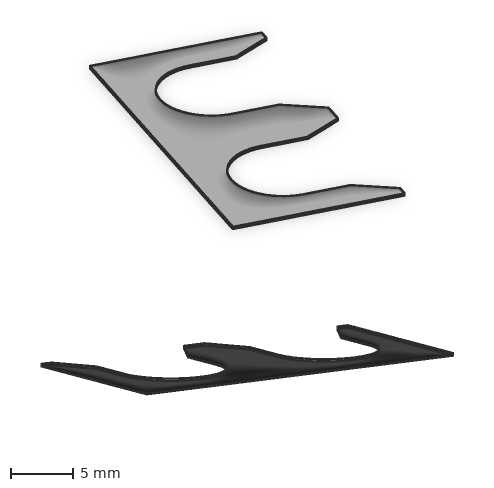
import cadquery as cq
import math

length = 30.0
width = 15.0
thickness = 0.2

slot_count = 2
slot_width = 9.0
slot_floor = 3.0
lead_in_spread = 2.0
lead_in_angle = 30.0

slot_pitch = length / slot_count
slot_radius = slot_width / 2
slot_center_y = slot_floor + slot_radius
mouth_half_width = slot_radius + lead_in_spread
lead_in_depth = lead_in_spread / math.tan(math.radians(lead_in_angle))
lead_in_start_y = width - lead_in_depth


def make_plate():
    """Rectangular blank with one corner at the origin."""
    return cq.Workplane("XY").box(length, width, thickness, centered=False)


def make_slot(center_x):
    """Cutting body of one slot, open at the far edge of the plate."""
    return (
        cq.Workplane("XY")
        .moveTo(center_x - mouth_half_width, width)
        .lineTo(center_x - slot_radius, lead_in_start_y)
        .lineTo(center_x - slot_radius, slot_center_y)
        .threePointArc((center_x, slot_floor), (center_x + slot_radius, slot_center_y))
        .lineTo(center_x + slot_radius, lead_in_start_y)
        .lineTo(center_x + mouth_half_width, width)
        .close()
        .extrude(thickness)
    )


result = make_plate()
for index in range(slot_count):
    result = result.cut(make_slot((index + 0.5) * slot_pitch))